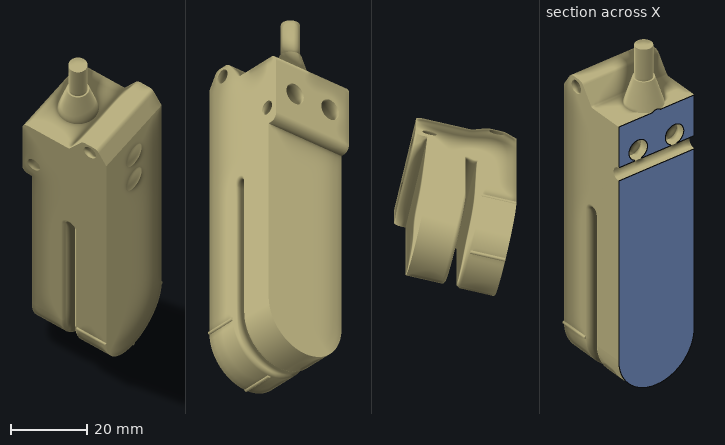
import cadquery as cq
import math

total_height = 104.5
width = 25.1
half_width = width / 2
back_x = 27.0

leg_front_x = 3.0
rib_height = 0.47
leg_arc_z = half_width + rib_height

head_top_z = 86.5
head_bottom_z = 66.5
corner_radius = 2.0
lug_foot_x = 15.0
lug_top_z = 92.5
lug_top_start_x = 19.3
lug_top_end_x = 23.9
lug_back_z = 87.8
lug_foot_radius = 1.0

cross_hole_diameter = 4.0
cross_hole_places = [(3.7, 71.6), (21.6, 89.7)]

bore_diameter = 6.0
bore_spacing = 12.0
bore_z = 76.7
bore_depth = 6.3

button_diameter = 7.0
button_height = 27.8 - back_x
button_root = 0.5
button_places_z = [69.6, 79.5]

slot_width = 3.0
slot_x = (leg_front_x + back_x) / 2
slot_top_z = 55.1
slot_fillet = 0.9

cable_x = 9.0
cable_diameter = 5.0
sleeve_bottom_diameter = 11.0
sleeve_top_diameter = 6.0
sleeve_top_z = 94.6

rib_start_x = 17.6
rib_directions = [(-1, 0), (1, 0), (0, 1)]


def make_body():
    """Side profile through the full width, with the bottom rounded across Y."""
    profile = (
        cq.Workplane("XZ")
        .moveTo(leg_front_x, 0)
        .lineTo(leg_front_x, head_bottom_z)
        .lineTo(0, head_bottom_z)
        .lineTo(0, head_top_z)
        .lineTo(lug_foot_x, head_top_z)
        .lineTo(lug_top_start_x, lug_top_z)
        .lineTo(lug_top_end_x, lug_top_z)
        .lineTo(back_x, lug_back_z)
        .lineTo(back_x, 0)
        .close()
        .extrude(half_width, both=True)
    )
    rounded_corners = [
        (0, head_bottom_z),
        (0, head_top_z),
        (lug_top_start_x, lug_top_z),
        (lug_top_end_x, lug_top_z),
    ]
    for x, z in rounded_corners:
        profile = profile.edges(cq.NearestToPointSelector((x, 0, z))).fillet(corner_radius)
    profile = profile.edges(cq.NearestToPointSelector((lug_foot_x, 0, head_top_z))).fillet(lug_foot_radius)
    rounded_end = (
        cq.Workplane("YZ")
        .moveTo(-half_width, leg_arc_z)
        .threePointArc((0, rib_height), (half_width, leg_arc_z))
        .lineTo(half_width, total_height)
        .lineTo(-half_width, total_height)
        .close()
        .extrude(back_x)
    )
    return profile.intersect(rounded_end)


def cut_slot(body):
    """Split the legs with a round-topped slot and round its rim."""
    radius = slot_width / 2
    slot = (
        cq.Workplane("XZ")
        .moveTo(slot_x - radius, 0)
        .lineTo(slot_x - radius, slot_top_z - radius)
        .threePointArc((slot_x, slot_top_z), (slot_x + radius, slot_top_z - radius))
        .lineTo(slot_x + radius, 0)
        .close()
        .extrude(half_width, both=True)
    )
    body = body.cut(slot)
    margin = 0.1
    rim_box = cq.selectors.BoxSelector(
        (slot_x - radius - margin, -width, -margin),
        (slot_x + radius + margin, width, slot_top_z + margin),
    )
    return body.edges(rim_box).fillet(slot_fillet)


def make_sleeve():
    """Tapered sleeve carrying the cable."""
    return (
        cq.Workplane("XZ", origin=(cable_x, 0, 0))
        .moveTo(0, head_top_z)
        .lineTo(sleeve_bottom_diameter / 2, head_top_z)
        .lineTo(sleeve_top_diameter / 2, sleeve_top_z)
        .lineTo(cable_diameter / 2, sleeve_top_z)
        .lineTo(cable_diameter / 2, total_height)
        .lineTo(0, total_height)
        .close()
        .revolve(360, (0, 0, 0), (0, 1, 0))
    )


def make_button(z):
    """Shallow spherical dome rising from the back face."""
    radius = button_diameter / 2
    sphere_radius = (radius**2 + button_height**2) / (2 * button_height)
    half_reach = radius / 2
    half_reach_rise = math.sqrt(sphere_radius**2 - half_reach**2) - (sphere_radius - button_height)
    return (
        cq.Workplane("XY", origin=(back_x, 0, z))
        .moveTo(-button_root, 0)
        .lineTo(button_height, 0)
        .threePointArc((half_reach_rise, half_reach), (0, radius))
        .lineTo(-button_root, radius)
        .close()
        .revolve(360, (0, 0, 0), (1, 0, 0))
    )


def make_rib(side, down):
    """Half-round bead along X, centred on the leg surface in the given direction from the arc centre."""
    return (
        cq.Workplane("YZ", origin=(rib_start_x, side * half_width, leg_arc_z - down * half_width))
        .circle(rib_height)
        .extrude(back_x - rib_start_x)
    )


result = cut_slot(make_body()).union(make_sleeve())

for hole_x, hole_z in cross_hole_places:
    hole = cq.Workplane("XZ", origin=(hole_x, 0, hole_z)).circle(cross_hole_diameter / 2)
    result = result.cut(hole.extrude(half_width, both=True))

bores = (
    cq.Workplane("YZ")
    .pushPoints([(side * bore_spacing / 2, bore_z) for side in (-1, 1)])
    .circle(bore_diameter / 2)
    .extrude(bore_depth)
)
result = result.cut(bores)

for button_z in button_places_z:
    result = result.union(make_button(button_z))

for rib_side, rib_down in rib_directions:
    result = result.union(make_rib(rib_side, rib_down))